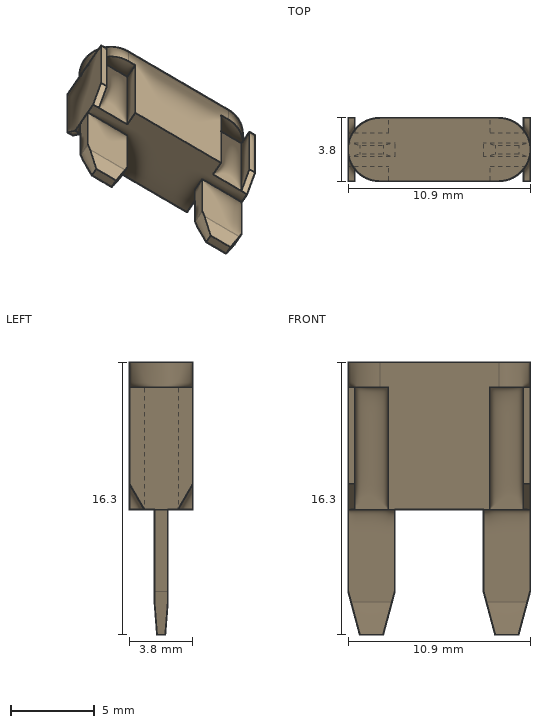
import cadquery as cq
import math

length = 10.9
depth = 3.8
height = 16.31

cap_height = 1.5
housing_bottom = 7.49
block_width = 6.07
web_thickness = 2.02
plate_thickness = 0.4
plate_corner_width = 0.9
plate_corner_angle = 60.0

blade_width = 2.8
blade_thickness = 0.82
tip_width = 1.4
tip_thickness = 0.5
side_taper_angle = 15.0
face_taper_height = 1.99

cap_bottom = height - cap_height
body_height = cap_bottom - housing_bottom
plate_corner_height = plate_corner_width * math.tan(math.radians(plate_corner_angle))
side_taper_height = (blade_width - tip_width) / 2 / math.tan(math.radians(side_taper_angle))
blade_center = (length - blade_width) / 2
plate_center = (length - plate_thickness) / 2


def make_cap():
    """Flat cap with fully rounded ends."""
    return cq.Workplane("XY").workplane(offset=cap_bottom).slot2D(length, depth).extrude(cap_height)


def make_body_box(size_x, size_y):
    """Box centred on the Z axis, from the housing bottom up to the cap."""
    return cq.Workplane("XY").workplane(offset=housing_bottom).rect(size_x, size_y).extrude(body_height)


def make_end_plate(center_x):
    """Thin upright plate with its two lower corners cut off."""
    half_depth = depth / 2
    half_bottom = half_depth - plate_corner_width
    corner_top = housing_bottom + plate_corner_height
    return (
        cq.Workplane("YZ")
        .workplane(offset=center_x)
        .moveTo(-half_bottom, housing_bottom)
        .lineTo(half_bottom, housing_bottom)
        .lineTo(half_depth, corner_top)
        .lineTo(half_depth, cap_bottom)
        .lineTo(-half_depth, cap_bottom)
        .lineTo(-half_depth, corner_top)
        .close()
        .extrude(plate_thickness / 2, both=True)
    )


def make_housing():
    """Cap, centre block, web and end plates joined as one moulding."""
    housing = make_cap()
    housing = housing.union(make_body_box(block_width, depth))
    housing = housing.union(make_body_box(length - plate_thickness, web_thickness))
    for side in (-1, 1):
        housing = housing.union(make_end_plate(side * plate_center))
    return housing


def make_tapered_profile(plane, width, end_width, taper_height):
    """Closed outline of a prong that narrows over the taper height down to Z = 0."""
    return (
        cq.Workplane(plane)
        .moveTo(-end_width / 2, 0)
        .lineTo(end_width / 2, 0)
        .lineTo(width / 2, taper_height)
        .lineTo(width / 2, housing_bottom)
        .lineTo(-width / 2, housing_bottom)
        .lineTo(-width / 2, taper_height)
        .close()
    )


def make_blade(center_x):
    """Prong below the housing, tapered on its sides and on its faces."""
    front_outline = make_tapered_profile("XZ", blade_width, tip_width, side_taper_height)
    side_outline = make_tapered_profile("YZ", blade_thickness, tip_thickness, face_taper_height)
    front_prism = front_outline.extrude(blade_thickness / 2, both=True)
    side_prism = side_outline.extrude(blade_width / 2, both=True)
    return front_prism.intersect(side_prism).translate((center_x, 0, 0))


housing = make_housing()
blades = [make_blade(side * blade_center) for side in (-1, 1)]

result = cq.Compound.makeCompound([housing.val(), *[blade.val() for blade in blades]])